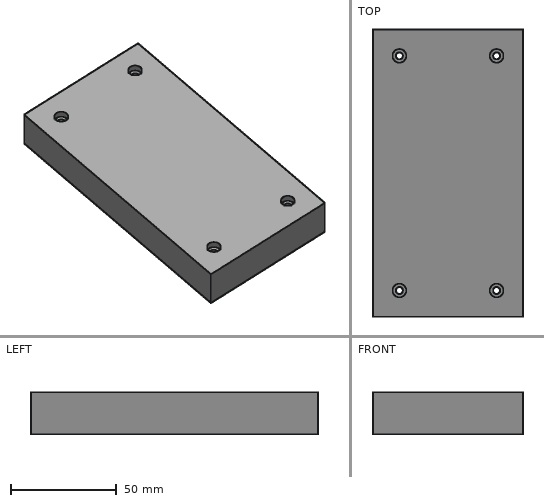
import cadquery as cq

width = 71.0
length = 136.0
height = 20.0

hole_margin = 12.5
hole_spacing_x = width - 2 * hole_margin
hole_spacing_y = length - 2 * hole_margin
hole_diameter = 3.2
head_diameter = 6.5
head_depth = 3.5


def make_block():
    """Plain rectangular block standing on the XY plane."""
    return cq.Workplane("XY").box(width, length, height, centered=(True, True, False))


def cut_screw_holes(body):
    """Counterbored through holes, with the screw heads sunk into the top face."""
    return (
        body.faces(">Z")
        .workplane()
        .rarray(hole_spacing_x, hole_spacing_y, 2, 2)
        .cboreHole(hole_diameter, head_diameter, head_depth)
    )


result = cut_screw_holes(make_block())